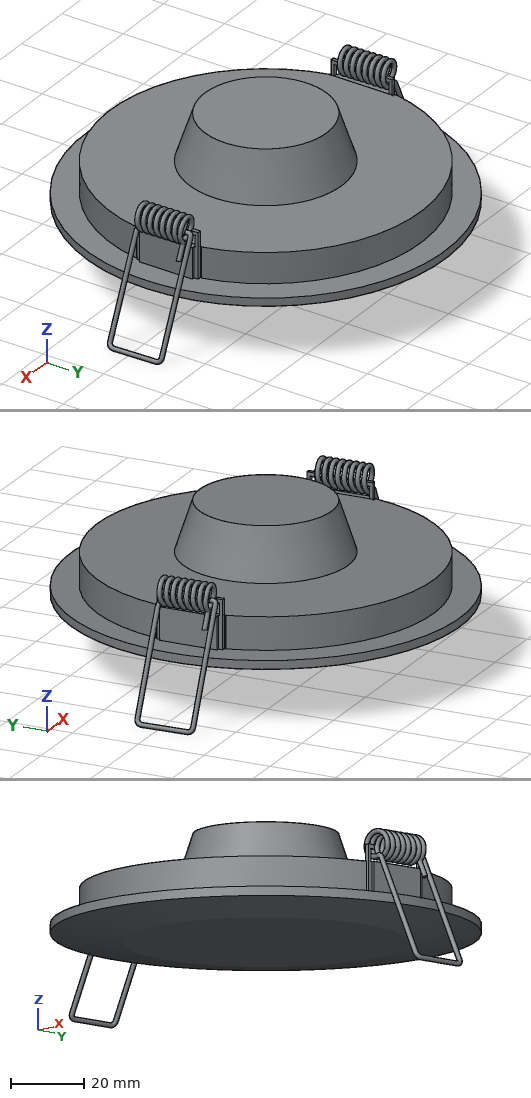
import cadquery as cq
import math


flange_diameter = 117.95
face_diameter = 78.0
body_diameter = 102.0
dome_base_diameter = 50.0
dome_top_diameter = 40.0
bevel_height = 2.6
flange_thickness = 2.6
body_height = 9.8
dome_height = 15.0
flange_top = bevel_height + flange_thickness
body_top = flange_top + body_height
dome_top = body_top + dome_height

bracket_center_y = -1.4
bracket_width = 20.0
bracket_front_x = -51.45
arm_front_x = -50.6
arm_thickness = 1.2
arm_width = 1.0
arm_height = 4.8
arm_top = body_top + arm_height
arm_back_x = arm_front_x + arm_thickness
front_margin = 1.3
tab_height = 1.2
tab_length = 2.3

recess_clearance = 0.4
recess_floor_x = arm_back_x

wire_diameter = 1.4
coil_radius = 3.6
coil_x = -51.3
coil_axis_height = 4.9
coil_z = body_top + coil_axis_height
coil_pitch = 2.0
coil_turns = 7.45
coil_start_y = 6.8
coil_end_y = coil_start_y - coil_pitch * coil_turns
spring_twist = 1.4

leg_offset = 0.4
coil_leg_y = coil_start_y
hook_leg_y = -9.9
frame_end_x = -67.705
overall_height = 44.27
frame_end_z = dome_top - overall_height + wire_diameter / 2
frame_reach = math.hypot(coil_x - frame_end_x, coil_z - frame_end_z)
leg_length = math.sqrt(frame_reach**2 - leg_offset**2)
leg_lean = math.atan2(coil_x - frame_end_x, coil_z - frame_end_z) - math.asin(leg_offset / frame_reach)

bend_radius = 1.0
corner_radius = 1.5
stub_length = 4.5
hook_radius = 0.9
hook_depth = 0.6
hook_end_y = -8.2


def block(x_range, y_range, z_range):
    """Box between two limits along each axis."""
    size = [high - low for low, high in (x_range, y_range, z_range)]
    corner = (x_range[0], y_range[0], z_range[0])
    return cq.Workplane("XY").box(*size, centered=False).translate(corner)


def half_turn(body):
    """Copy of a body for the opposite side of the lamp."""
    return body.rotate((0, 0, 0), (0, 0, 1), 180)


def place_spring(body):
    """Move from spring axes (coil axis on Y, legs along -Z) to the place on the -X side."""
    coil_middle_y = (coil_start_y + coil_end_y) / 2
    leaning = body.rotate((0, 0, 0), (0, 1, 0), math.degrees(leg_lean))
    twisted = leaning.rotate((0, coil_middle_y, 0), (0, coil_middle_y, 1), spring_twist)
    return twisted.translate((coil_x, 0, coil_z))


def make_leg_relief():
    """Two straight rods along the spring legs, which groove the flange rim."""
    rods = (
        cq.Workplane("XY")
        .pushPoints([(-leg_offset, coil_leg_y), (-leg_offset, hook_leg_y)])
        .circle(wire_diameter / 2)
        .extrude(-leg_length + corner_radius)
    )
    return place_spring(rods)


def make_housing():
    profile = [
        (0, 0),
        (face_diameter / 2, 0),
        (flange_diameter / 2, bevel_height),
        (flange_diameter / 2, flange_top),
        (body_diameter / 2, flange_top),
        (body_diameter / 2, body_top),
        (dome_base_diameter / 2, body_top),
        (dome_top_diameter / 2, dome_top),
        (0, dome_top),
    ]
    housing = cq.Workplane("XZ").polyline(profile).close().revolve(360, (0, 0), (0, 1))

    half_opening = bracket_width / 2 + recess_clearance
    recess = block(
        (-flange_diameter / 2, recess_floor_x),
        (bracket_center_y - half_opening, bracket_center_y + half_opening),
        (flange_top, body_top),
    )
    for cutter in (recess, make_leg_relief()):
        housing = housing.cut(cutter).cut(half_turn(cutter))
    return housing


def make_bracket():
    y_low = bracket_center_y - bracket_width / 2
    y_high = bracket_center_y + bracket_width / 2
    arm_x = (arm_front_x, arm_back_x)
    plate_z = (flange_top, body_top)

    bracket = block((arm_front_x, recess_floor_x), (y_low, y_high), plate_z)
    raised_y = (y_low + front_margin, y_high - front_margin)
    bracket = bracket.union(block((bracket_front_x, arm_front_x), raised_y, plate_z))

    arms_y = [(y_low, y_low + arm_width), (y_high - arm_width, y_high)]
    tabs_y = [(y_low, y_low + tab_length), (y_high - tab_length, y_high)]
    for arm_y, tab_y in zip(arms_y, tabs_y):
        bracket = bracket.union(block(arm_x, arm_y, (body_top, arm_top)))
        bracket = bracket.union(block(arm_x, tab_y, (arm_top - tab_height, arm_top)))
    return bracket


def coil_bend(side, y):
    """Ends of the bend that joins a straight wire to the coil, and the angle where it meets it.

    side is +1 when the bend lies on the +X side of the straight wire, -1 on the other side.
    """
    center_x = -leg_offset + side * bend_radius
    center_distance = coil_radius + bend_radius
    center_z = -math.sqrt(center_distance**2 - center_x**2)
    angle = math.atan2(center_z, center_x)
    return cq.Vector(-leg_offset, y, center_z), coil_point(angle, y), angle


def coil_point(angle, y):
    return cq.Vector(coil_radius * math.cos(angle), y, coil_radius * math.sin(angle))


def leg_point(y, z):
    return cq.Vector(-leg_offset, y, z)


def make_spring():
    line = cq.Edge.makeLine
    tangent_arc = cq.Edge.makeTangentArc
    arc = cq.Edge.makeThreePointArc
    up = cq.Vector(0, 0, 1)
    down = cq.Vector(0, 0, -1)
    toward_start = cq.Vector(0, 1, 0)
    toward_end = cq.Vector(0, -1, 0)

    hook_tip = leg_point(hook_end_y, -hook_depth)
    hook_bend = leg_point(hook_leg_y + hook_radius, -hook_depth)
    hook_leg_top = leg_point(hook_leg_y, -hook_depth - hook_radius)
    hook_leg_end = leg_point(hook_leg_y, corner_radius - leg_length)
    bar_start = leg_point(hook_leg_y + corner_radius, -leg_length)
    bar_end = leg_point(coil_leg_y - corner_radius, -leg_length)
    coil_leg_end = leg_point(coil_leg_y, corner_radius - leg_length)
    coil_leg_top, coil_entry, entry_angle = coil_bend(1, coil_leg_y)
    helix_start = coil_point(0, coil_start_y)
    edges = [
        line(hook_tip, hook_bend),
        tangent_arc(hook_bend, toward_end, hook_leg_top),
        line(hook_leg_top, hook_leg_end),
        tangent_arc(hook_leg_end, down, bar_start),
        line(bar_start, bar_end),
        tangent_arc(bar_end, toward_start, coil_leg_end),
        line(coil_leg_end, coil_leg_top),
        tangent_arc(coil_leg_top, up, coil_entry),
        arc(coil_entry, coil_point(entry_angle / 2, coil_start_y), helix_start),
    ]

    helix = cq.Wire.makeHelix(coil_pitch, coil_pitch * coil_turns, coil_radius)
    helix = helix.rotate(cq.Vector(0, 0, 0), cq.Vector(1, 0, 0), 90)
    edges += helix.translate(cq.Vector(0, coil_start_y, 0)).Edges()

    stub_top, coil_exit, exit_angle = coil_bend(-1, coil_end_y)
    helix_end_angle = 2 * math.pi * (coil_turns % 1)
    middle_angle = (helix_end_angle + exit_angle + 2 * math.pi) / 2
    edges += [
        arc(coil_point(helix_end_angle, coil_end_y), coil_point(middle_angle, coil_end_y), coil_exit),
        tangent_arc(stub_top, up, coil_exit),
        line(stub_top, stub_top + down * stub_length),
    ]

    path = cq.Workplane(obj=cq.Wire.assembleEdges(edges))
    wire_end = cq.Plane(hook_tip, xDir=(1, 0, 0), normal=(0, -1, 0))
    spring = cq.Workplane(wire_end).circle(wire_diameter / 2).sweep(path, transition="transformed")
    return place_spring(spring)


housing = make_housing()
bracket = make_bracket()
spring = make_spring()

bodies = [housing]
for side_body in (bracket, spring):
    bodies += [side_body, half_turn(side_body)]
result = cq.Compound.makeCompound([solid for body in bodies for solid in body.solids().vals()])